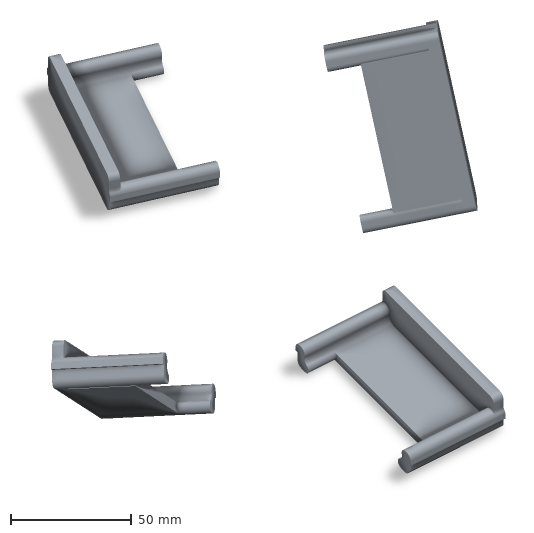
import cadquery as cq
import math

half_width = 41.6
length = 48.2
height = 20.0

plate_thickness = 5.0
plate_half_width = 39.95
corner_radius = 2.75

floor_top = 4.4
floor_setback = 14.15
floor_length = length - floor_setback

ledge_z = 7.2
ledge_land = 0.3
taper_top_x = 41.3
taper_top_z = 10.2
rail_top = 12.6
crown_outer_x = 38.1
crown_inner_x = 37.9

foot_radius = 2.5
foot_tip_x = 32.05
foot_lip_x = 33.2
foot_center_x = foot_tip_x + foot_radius

inner_run = crown_inner_x - foot_tip_x
inner_rise = rail_top - floor_top
root_radius = (inner_run**2 + inner_rise**2) / (4 * inner_rise)
root_center_z = floor_top + root_radius
inner_mid_x = (crown_inner_x + foot_tip_x) / 2
inner_mid_z = (rail_top + floor_top) / 2
inner_sweep = math.degrees(2 * math.atan(inner_rise / inner_run))
root_end_angle = inner_sweep - 90

lip_angle = -math.degrees(math.acos((foot_lip_x - foot_tip_x) / root_radius))
foot_lip_z = root_center_z + root_radius * math.sin(math.radians(lip_angle))

neck_top = 13.2
neck_bottom = 11.6

crown_run = taper_top_x - crown_outer_x
crown_drop = rail_top - taper_top_z
crown_radius = (crown_run**2 + crown_drop**2) / (2 * crown_drop)


def circle_point(center, radius, degrees):
    """Point on a circle at the given angle from +X."""
    angle = math.radians(degrees)
    return center[0] + radius * math.cos(angle), center[1] + radius * math.sin(angle)


def extrude_back(outline, depth):
    """Extrude a closed XZ outline from Y = 0 toward +Y."""
    return outline.close().extrude(-depth)


def mirrored_pair(body):
    return body.union(body.mirror("YZ"))


def rail():
    """Right-hand rail: crown and latch above, rounded foot below."""
    root_center = (foot_tip_x, root_center_z)
    lip = (foot_lip_x, foot_lip_z)
    crown_center = (crown_outer_x, rail_top - crown_radius)
    crown_end_angle = math.degrees(math.atan2(taper_top_z - crown_center[1], crown_run))
    inner_center = (crown_inner_x, rail_top - root_radius)
    corner_center = (plate_half_width - corner_radius, corner_radius)
    outline = (
        cq.Workplane("XZ")
        .moveTo(foot_center_x, 0)
        .lineTo(corner_center[0], 0)
        .threePointArc(circle_point(corner_center, corner_radius, -45), (plate_half_width, corner_radius))
        .lineTo(plate_half_width, ledge_z)
        .lineTo(half_width, ledge_z)
        .lineTo(half_width, ledge_z + ledge_land)
        .lineTo(taper_top_x, taper_top_z)
        .threePointArc(
            circle_point(crown_center, crown_radius, (crown_end_angle + 90) / 2), (crown_outer_x, rail_top)
        )
        .lineTo(crown_inner_x, rail_top)
        .threePointArc(
            circle_point(inner_center, root_radius, 90 + inner_sweep / 2), (inner_mid_x, inner_mid_z)
        )
        .threePointArc(circle_point(root_center, root_radius, (root_end_angle + lip_angle) / 2), lip)
        .threePointArc((foot_tip_x, foot_radius), (foot_center_x, 0))
    )
    return extrude_back(outline, length)


def front_plate():
    """Rounded plate across the front."""
    plate = cq.Workplane("XY").box(
        2 * plate_half_width, plate_thickness, height, centered=(True, False, False)
    )
    return plate.edges("|Y").fillet(corner_radius)


def neck():
    """Concave web between the plate side and the outer crown of the rail."""
    crown_center_z = rail_top - crown_radius
    neck_end_x = crown_outer_x + math.sqrt(crown_radius**2 - (neck_bottom - crown_center_z) ** 2)
    outline = (
        cq.Workplane("XZ")
        .moveTo(plate_half_width, neck_top)
        .radiusArc((neck_end_x, neck_bottom), -neck_radius(neck_end_x))
        .lineTo(crown_outer_x, neck_bottom)
        .lineTo(crown_outer_x, neck_top)
    )
    return extrude_back(outline, plate_thickness)


def neck_radius(neck_end_x):
    """Radius of the arc that leaves the plate side vertically and ends on the crown."""
    run = neck_end_x - plate_half_width
    drop = neck_top - neck_bottom
    return (run**2 + drop**2) / (2 * run)


def floor():
    """Flat floor that curves up at both sides to meet the lips of the feet."""
    root_center = (foot_tip_x, root_center_z)
    rise_point = circle_point(root_center, root_radius, (lip_angle - 90) / 2)
    outline = (
        cq.Workplane("XZ")
        .moveTo(-foot_lip_x, 0)
        .lineTo(foot_lip_x, 0)
        .lineTo(foot_lip_x, foot_lip_z)
        .threePointArc(rise_point, (foot_tip_x, floor_top))
        .lineTo(-foot_tip_x, floor_top)
        .threePointArc((-rise_point[0], rise_point[1]), (-foot_lip_x, foot_lip_z))
    )
    return extrude_back(outline, floor_length)


rails_and_necks = mirrored_pair(rail().union(neck()))
result = front_plate().union(floor()).union(rails_and_necks).clean()